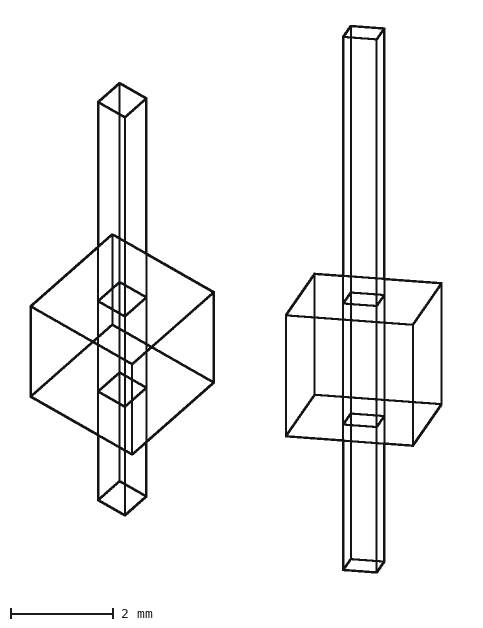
import cadquery as cq

pin_length = 11.0
pin_width = 0.67
housing_width = 2.54
housing_height = 2.5
tail_length = 3.0

pin_bottom = -tail_length


def make_pin():
    """Square pin, longer above the housing than below it."""
    return (
        cq.Workplane("XY")
        .workplane(offset=pin_bottom)
        .rect(pin_width, pin_width)
        .extrude(pin_length)
    )


def make_housing():
    """Square block with a through hole that fits the pin."""
    return (
        cq.Workplane("XY")
        .rect(housing_width, housing_width)
        .rect(pin_width, pin_width)
        .extrude(housing_height)
    )


pin = make_pin()
housing = make_housing()

result = cq.Compound.makeCompound([housing.val(), pin.val()])